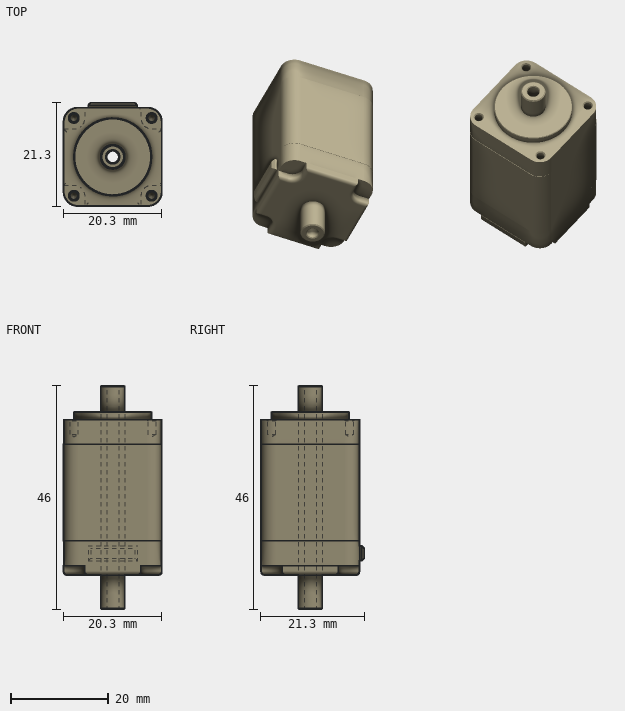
import cadquery as cq
import math


body_width = 20.3
cap_width = 20.15
corner_radius = 3.0

cap_length = 5.05
stator_length = 19.9
cover_length = 2.0
shaft_length = 46.0
shaft_top = 7.0

stator_top = -cap_length
rear_cap_top = stator_top - stator_length
cover_top = rear_cap_top - cap_length
cover_bottom = cover_top - cover_length
shaft_bottom = shaft_top - shaft_length

shaft_diameter = 5.0
shaft_bore = 2.5
shaft_chamfer = 0.25
bore_chamfer = 0.2

pilot_diameter = 16.0
pilot_height = 1.6
pilot_chamfer = 0.15
screw_spacing = 16.0
screw_hole_diameter = 1.65
screw_hole_depth = 3.0
screw_hole_chamfer = 0.25
drill_point_angle = 118.0

cover_edge_radius = 0.85
notch_radius = 2.2

connector_width = 10.1
connector_height = 3.0
connector_depth = 1.0
connector_chamfer = 0.5


def rounded_block(width, top, length):
    """Square motor section with rounded vertical edges, below the level top."""
    return (
        cq.Workplane("XY", origin=(0, 0, top - length))
        .rect(width, body_width)
        .extrude(length)
        .edges("|Z")
        .fillet(corner_radius)
    )


def shaft_cylinder(diameter):
    """Cylinder on the Z axis over the full length of the shaft."""
    return (
        cq.Workplane("XY", origin=(0, 0, shaft_bottom))
        .circle(diameter / 2)
        .extrude(shaft_length)
    )


def cut_shaft_hole(body):
    """Clear the way for the shaft through a whole body."""
    return body.cut(shaft_cylinder(shaft_diameter), clean=False)


def make_shaft():
    """Hollow shaft with chamfered outer and bore edges at both ends."""
    outside = shaft_cylinder(shaft_diameter).faces("<Z or >Z").chamfer(shaft_chamfer)
    tube = outside.cut(shaft_cylinder(shaft_bore))
    smallest_circles = cq.selectors.RadiusNthSelector(0)
    return tube.faces("<Z or >Z").edges(smallest_circles).chamfer(bore_chamfer)


def screw_hole_cutter():
    """Blind drilled hole with a conical bottom and a chamfered mouth, on the Z axis."""
    hole_radius = screw_hole_diameter / 2
    point_depth = hole_radius / math.tan(math.radians(drill_point_angle / 2))
    return (
        cq.Workplane("XZ")
        .moveTo(0, 0)
        .lineTo(hole_radius + screw_hole_chamfer, 0)
        .lineTo(hole_radius, -screw_hole_chamfer)
        .lineTo(hole_radius, -screw_hole_depth)
        .lineTo(0, -screw_hole_depth - point_depth)
        .close()
        .revolve(360, (0, 0, 0), (0, 1, 0))
    )


def make_front_cap():
    """Mounting cap with a centring pilot and four screw holes."""
    cap = rounded_block(cap_width, 0, cap_length)
    pilot = (
        cq.Workplane("XY")
        .circle(pilot_diameter / 2)
        .extrude(pilot_height)
        .faces(">Z")
        .chamfer(pilot_chamfer)
    )
    cap = cap.union(pilot)
    for x_side in (-1, 1):
        for y_side in (-1, 1):
            place = (x_side * screw_spacing / 2, y_side * screw_spacing / 2, 0)
            cap = cap.cut(screw_hole_cutter().translate(place))
    return cut_shaft_hole(cap)


def make_stator():
    return cut_shaft_hole(rounded_block(body_width, stator_top, stator_length))


def cover_arm(x_size, y_size):
    return (
        cq.Workplane("XY", origin=(0, 0, cover_bottom))
        .rect(x_size, y_size)
        .extrude(cover_length)
    )


def make_cover():
    """Cross-shaped cover with filleted corner notches and a rounded lower edge."""
    arm_width = screw_spacing - 2 * notch_radius
    cross = cover_arm(arm_width, body_width).union(cover_arm(body_width, arm_width))
    inner_size = (arm_width + body_width) / 2
    inner_zone = cq.selectors.BoxSelector(
        (-inner_size / 2, -inner_size / 2, cover_bottom),
        (inner_size / 2, inner_size / 2, cover_top),
    )
    cross = cross.edges("|Z").edges(inner_zone).fillet(notch_radius)
    return cross.faces("<Z").edges().fillet(cover_edge_radius)


def make_connector():
    """Socket standing out of the +Y face at mid height of the rear cap."""
    return (
        cq.Workplane("XZ", origin=(0, body_width / 2, rear_cap_top - cap_length / 2))
        .rect(connector_width, connector_height)
        .extrude(-connector_depth)
        .faces(">Y")
        .chamfer(connector_chamfer)
    )


def make_rear_cap():
    """Rear cap in one piece with its cover and connector."""
    cap = rounded_block(cap_width, rear_cap_top, cap_length)
    cap = cap.union(make_connector()).union(make_cover(), clean=False)
    return cut_shaft_hole(cap)


shaft = make_shaft()
front_cap = make_front_cap()
stator = make_stator()
rear_cap = make_rear_cap()

result = cq.Compound.makeCompound([shaft.val(), front_cap.val(), stator.val(), rear_cap.val()])